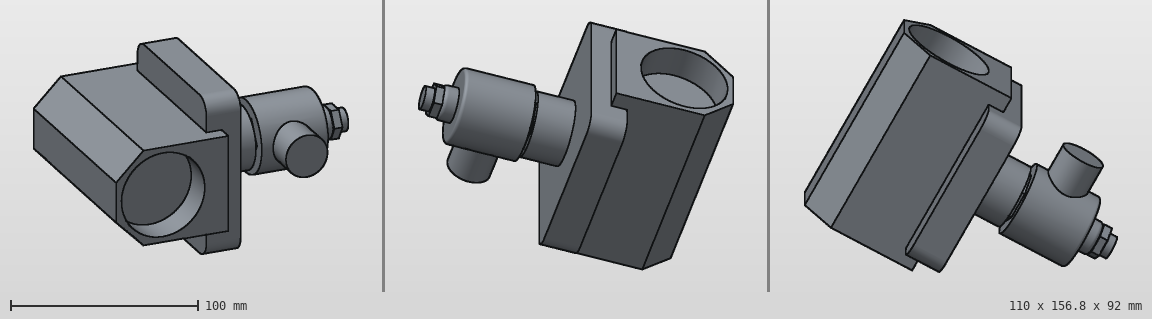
import cadquery as cq
import math

BLOCK_LENGTH = 110.0
BLOCK_DEPTH = 65.5
BLOCK_HEIGHT = 55.2
BLOCK_CHAMFER = 16.0
PORT_DIAMETER = 48.6
PORT_DEPTH = 18.0
PORT_CENTER_Y = 27.5
FLANGE_SIDE = 92.0
FLANGE_FRONT_Y = 56.6
FLANGE_REAR_Y = 76.7
FLANGE_CORNER_RADIUS = 9.1

BONNET_END_Y = 97.7
COIL_START_Y = 99.9
COIL_END_Y = 139.2
COLLAR_END_Y = 147.2
NUT_END_Y = 152.0
TIP_END_Y = 156.8

BONNET_DIAMETER = 36.4
NECK_ACROSS_FLATS = 25.5
COIL_DIAMETER = 42.0
COIL_ROUND = 1.9
COLLAR_DIAMETER = 19.5
COLLAR_ROUND = 2.4
NUT_ACROSS_FLATS = 16.8
TIP_DIAMETER = 13.0

CONDUIT_DIAMETER = 24.3
CONDUIT_CENTER_Y = 118.7
CONDUIT_END_X = 38.0


def plane_at(y):
    """Sketch plane across the actuator axis, facing +Y."""
    return cq.Workplane(cq.Plane(origin=(0, y, 0), xDir=(1, 0, 0), normal=(0, 1, 0)))


def cylinder(diameter, start_y, end_y):
    return plane_at(start_y).circle(diameter / 2).extrude(end_y - start_y)


def hexagon(across_flats, start_y, end_y):
    """Hexagonal prism with two of its corners on the X axis."""
    across_corners = across_flats / math.cos(math.pi / 6)
    return plane_at(start_y).polygon(6, across_corners).extrude(end_y - start_y)


def make_block():
    """Block with its two front edges chamfered."""
    block = cq.Workplane("XY").box(BLOCK_LENGTH, BLOCK_DEPTH, BLOCK_HEIGHT)
    block = block.translate((0, BLOCK_DEPTH / 2, 0))
    return block.faces("<Y").edges("|X").chamfer(BLOCK_CHAMFER)


def make_flange():
    flange = plane_at(FLANGE_FRONT_Y).rect(FLANGE_SIDE, FLANGE_SIDE)
    flange = flange.extrude(FLANGE_REAR_Y - FLANGE_FRONT_Y)
    return flange.edges("|Y").fillet(FLANGE_CORNER_RADIUS)


def make_port(side):
    """Blind port, cut inward from the end face at side * X."""
    start = cq.Vector(side * BLOCK_LENGTH / 2, PORT_CENTER_Y, 0)
    return cq.Solid.makeCylinder(PORT_DIAMETER / 2, PORT_DEPTH, start, cq.Vector(-side, 0, 0))


def make_valve_body():
    body = make_block().union(make_flange())
    for side in (-1, 1):
        body = body.cut(make_port(side))
    return body


def make_conduit():
    """Cable outlet, running from the coil axis out toward +X."""
    start = cq.Vector(0, CONDUIT_CENTER_Y, 0)
    return cq.Solid.makeCylinder(CONDUIT_DIAMETER / 2, CONDUIT_END_X, start, cq.Vector(1, 0, 0))


def make_actuator():
    bonnet = cylinder(BONNET_DIAMETER, FLANGE_REAR_Y, BONNET_END_Y)
    neck = hexagon(NECK_ACROSS_FLATS, BONNET_END_Y, COIL_START_Y)
    coil = cylinder(COIL_DIAMETER, COIL_START_Y, COIL_END_Y).faces(">Y").edges().fillet(COIL_ROUND)
    collar = cylinder(COLLAR_DIAMETER, COIL_END_Y, COLLAR_END_Y).faces(">Y").edges().fillet(COLLAR_ROUND)
    nut = hexagon(NUT_ACROSS_FLATS, COLLAR_END_Y, NUT_END_Y)
    tip = cylinder(TIP_DIAMETER, NUT_END_Y, TIP_END_Y)
    actuator = bonnet
    for section in (neck, coil, collar, nut, tip, make_conduit()):
        actuator = actuator.union(section)
    return actuator


valve_body = make_valve_body()
actuator = make_actuator()
result = cq.Compound.makeCompound([valve_body.solids().val(), actuator.solids().val()])